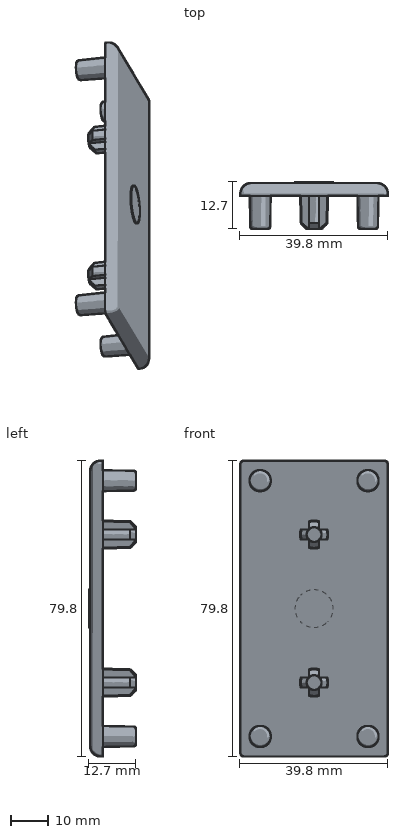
import cadquery as cq

plate_width = 39.8
plate_length = 79.8
total_depth = 12.7
peg_length = 8.9
pad_height = 0.2
pad_diameter = 10.2
plate_thickness = total_depth - peg_length - pad_height
rim_height = 0.55
edge_radius = plate_thickness - rim_height
corner_radius = 1.0

peg_offset_x = 14.5
peg_offset_z = 34.5
peg_base_diameter = 5.75
peg_tip_diameter = 5.4
peg_tip_fillet = 0.8

cross_offset_z = 19.95
cross_base_diameter = 7.6
cross_shoulder_diameter = 7.2
cross_tip_diameter = 4.0
cross_tip_height = 1.6
cross_arm_width = 2.7


def make_plate():
    """Plate with a rounded outer rim, mitred at the corners and then softened."""
    plate = cq.Workplane("XY").box(
        plate_width, plate_thickness, plate_length, centered=(True, False, True)
    )
    plate = plate.faces(">Y").edges().fillet(edge_radius)
    corners = plate.edges("|Y").add(plate.edges("%ELLIPSE"))
    return corners.fillet(corner_radius)


def turned_body(outline):
    """Revolve (radius, height) points about the Y axis, growing towards -Y."""
    points = [(radius, -height) for radius, height in outline]
    return cq.Workplane("XY").polyline(points).close().revolve(360, (0, 0), (0, 1))


def make_round_peg():
    peg = turned_body([
        (0, 0),
        (peg_base_diameter / 2, 0),
        (peg_tip_diameter / 2, peg_length),
        (0, peg_length),
    ])
    return peg.faces("<Y").edges().fillet(peg_tip_fillet)


def make_cross_peg():
    """Tapered, pointed round body trimmed to two crossing arms."""
    body = turned_body([
        (0, 0),
        (cross_base_diameter / 2, 0),
        (cross_shoulder_diameter / 2, peg_length - cross_tip_height),
        (cross_tip_diameter / 2, peg_length),
        (0, peg_length),
    ])
    arms = (
        cq.Workplane("XZ")
        .rect(cross_base_diameter, cross_arm_width)
        .extrude(peg_length)
        .union(cq.Workplane("XZ").rect(cross_arm_width, cross_base_diameter).extrude(peg_length))
    )
    return body.intersect(arms)


def make_pad():
    """Low round pad in the middle of the outer face."""
    pad = cq.Workplane("XZ").circle(pad_diameter / 2).extrude(-pad_height)
    return pad.translate((0, plate_thickness, 0))


result = make_plate().union(make_pad())

round_peg = make_round_peg()
cross_peg = make_cross_peg()
for z_side in (-1, 1):
    result = result.union(cross_peg.translate((0, 0, z_side * cross_offset_z)))
    for x_side in (-1, 1):
        place = (x_side * peg_offset_x, 0, z_side * peg_offset_z)
        result = result.union(round_peg.translate(place))